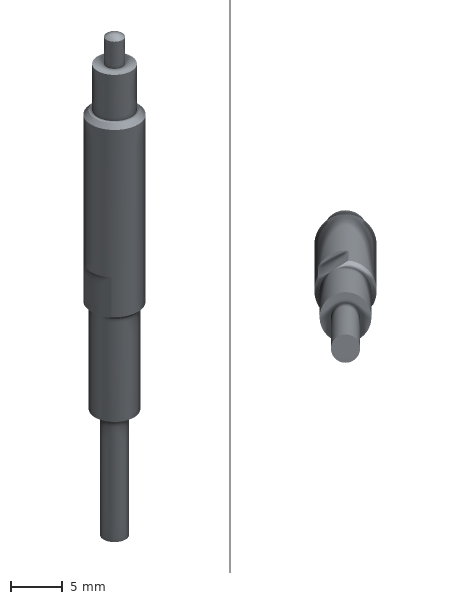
import cadquery as cq

total_height = 56.0
sleeve_bottom = 14.05
body_bottom = 25.55
flat_top = 30.45
body_top = 47.45
collar_top = 52.6

lead_diameter = 2.8
sleeve_diameter = 5.0
body_diameter = 6.0
collar_diameter = 4.3
pin_diameter = 2.0

body_chamfer = 0.5
pin_dome_height = 0.4
flat_spacing = sleeve_diameter


def section(diameter, bottom, top):
    """Solid cylinder on the Z axis between two levels."""
    return cq.Workplane("XY").workplane(offset=bottom).circle(diameter / 2).extrude(top - bottom)


def make_body():
    """Chamfered barrel with two parallel wrench flats facing -Y and +Y."""
    body = section(body_diameter, body_bottom, body_top).faces("<Z or >Z").chamfer(body_chamfer)
    flat_height = flat_top - body_bottom
    for side in (-1, 1):
        cutter = (
            cq.Workplane("XY")
            .box(body_diameter, body_diameter, flat_height, centered=(True, True, False))
            .translate((0, side * (flat_spacing + body_diameter) / 2, body_bottom))
        )
        body = body.cut(cutter)
    return body


def make_pin():
    """Contact pin with a domed tip."""
    pin_radius = pin_diameter / 2
    shoulder = total_height - pin_dome_height
    dome_radius = (pin_radius**2 + pin_dome_height**2) / (2 * pin_dome_height)
    dome = cq.Workplane("XY").sphere(dome_radius).translate((0, 0, total_height - dome_radius))
    shank = section(pin_diameter, collar_top, shoulder)
    cap = section(pin_diameter, shoulder, total_height).intersect(dome)
    return shank.union(cap)


lead = section(lead_diameter, 0, sleeve_bottom)
sleeve = section(sleeve_diameter, sleeve_bottom, body_bottom)
collar = section(collar_diameter, body_top, collar_top)

result = lead.union(sleeve).union(make_body()).union(collar).union(make_pin())